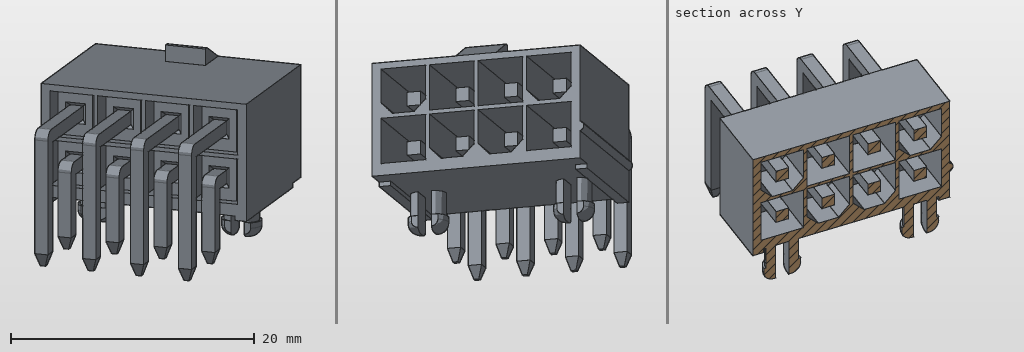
import cadquery as cq


body_width = 17.97
body_depth = 12.8
body_top = 10.0
foot_height = 0.38
foot_width = 1.0
foot_length = 10.92
rib_height = 0.84
rib_projection = 0.32
rib_middle_z = 3.12

latch_width = 3.5
latch_length = 3.02
latch_height = 1.4
latch_flat = 0.44

columns = 4
pitch = 4.2
cell_size = 3.85
roof_thickness = 0.55
recess_depth = 0.84
web_width = 3.02
web_thickness = 2.0
corner_leg = 1.0
funnel_size = 1.75

pin_size = 1.15
bend_radius = 0.8
upper_reach = 7.17
lower_reach = 1.7
pin_end_y = 9.98
pin_bottom = -3.5
taper_length = 1.1
taper_tip = 0.44

peg_y = 6.17
peg_thickness = 2.02
peg_shaft_width = 3.02
peg_head_width = 3.4
peg_slot = pin_size
peg_shoulder_z = -1.64
peg_bottom = -3.02
peg_round = 0.92

column_x = [(i - (columns - 1) / 2) * pitch for i in range(columns)]
upper_z = body_top - roof_thickness - cell_size / 2
lower_z = upper_z - pitch
web_back = recess_depth + web_thickness
funnel_depth = (funnel_size - pin_size) / 2


def box(width, depth, height, x, y, z):
    """Box centred on x, starting at y and z."""
    block = cq.Workplane("XY").box(width, depth, height, centered=(True, False, False))
    return block.translate((x, y, z))


def housing_shell():
    shell = box(body_width, body_depth, body_top - foot_height, 0, 0, foot_height)
    foot_x = (body_width - foot_width) / 2
    for x in (-foot_x, foot_x):
        shell = shell.union(box(foot_width, foot_length, foot_height, x, 0, 0))
    side = -body_width / 2
    rib = (
        cq.Workplane("XZ")
        .moveTo(side, rib_middle_z - rib_height / 2)
        .threePointArc((side - rib_projection, rib_middle_z), (side, rib_middle_z + rib_height / 2))
        .close()
        .extrude(-body_depth)
    )
    return shell.union(rib)


def latch():
    front = body_depth - latch_length
    return (
        cq.Workplane("YZ")
        .moveTo(body_depth, body_top)
        .lineTo(front, body_top)
        .lineTo(front, body_top + latch_height)
        .lineTo(front + latch_flat, body_top + latch_height)
        .close()
        .extrude(latch_width / 2, both=True)
    )


def cell_cut(x, z, keyed):
    """Open cell around a pin web; keyed cells keep two filled lower corners behind the web."""
    bottom = z - cell_size / 2
    cell = box(cell_size, body_depth, cell_size, x, 0, bottom)
    cell = cell.cut(box(web_width, web_thickness, cell_size, x, recess_depth, bottom))
    if keyed:
        for side in (-1, 1):
            corner = (
                cq.Workplane("XZ", origin=(x + side * cell_size / 2, web_back, bottom))
                .lineTo(-side * corner_leg, 0)
                .lineTo(0, corner_leg)
                .close()
                .extrude(web_back - body_depth)
            )
            cell = cell.cut(corner)
    funnel = (
        cq.Workplane("XZ", origin=(x, recess_depth, z))
        .rect(funnel_size, funnel_size)
        .workplane(offset=-funnel_depth)
        .rect(pin_size, pin_size)
        .loft()
    )
    return cell.union(funnel)


def pin(x, z, reach):
    """Square pin running out of the housing, bent down and tapered at its tip."""
    half = pin_size / 2
    inner_y = pin_size - reach
    taper_start = pin_bottom + taper_length
    bar = (
        cq.Workplane("YZ")
        .moveTo(pin_end_y, z + half)
        .lineTo(bend_radius - reach, z + half)
        .radiusArc((-reach, z + half - bend_radius), -bend_radius)
        .lineTo(-reach, taper_start)
        .lineTo(inner_y, taper_start)
        .lineTo(inner_y, z - half)
        .lineTo(pin_end_y, z - half)
        .close()
        .extrude(half, both=True)
    )
    tip = (
        cq.Workplane("XY", origin=(0, half - reach, taper_start))
        .rect(pin_size, pin_size)
        .workplane(offset=-taper_length)
        .rect(taper_tip, taper_tip)
        .loft()
    )
    return bar.union(tip).translate((x, 0, 0))


def peg(x):
    """Pair of round-ended prongs with flat front and back, separated by a slot."""
    prong_offset = (peg_shaft_width - peg_thickness) / 2
    head_radius = peg_head_width / 2 - prong_offset
    shaft_height = foot_height - peg_shoulder_z
    prongs = cq.Workplane()
    for side in (-1, 1):
        centre = side * prong_offset
        shaft = (
            cq.Workplane("XY", origin=(centre, 0, peg_shoulder_z))
            .circle(peg_thickness / 2)
            .extrude(shaft_height)
        )
        head = (
            cq.Workplane("XY", origin=(centre, 0, peg_bottom))
            .circle(head_radius)
            .extrude(peg_shoulder_z - peg_bottom)
            .faces("<Z")
            .edges()
            .fillet(peg_round)
        )
        outer_half_x = side * (peg_slot + peg_head_width) / 2
        prong_height = foot_height - peg_bottom
        prong_front = -peg_thickness / 2
        outer_half = box(peg_head_width, peg_thickness, prong_height, outer_half_x, prong_front, peg_bottom)
        prong = shaft.union(head).intersect(outer_half)
        prongs = prongs.add(prong)
    return prongs.combine().translate((x, peg_y, 0))


result = housing_shell().union(latch())

for i, x in enumerate(column_x):
    outer_column = i in (0, columns - 1)
    result = result.cut(cell_cut(x, upper_z, outer_column))
    result = result.cut(cell_cut(x, lower_z, not outer_column))

for x in column_x:
    result = result.union(pin(x, upper_z, upper_reach))
    result = result.union(pin(x, lower_z, lower_reach))

for x in (column_x[0], column_x[-1]):
    result = result.union(peg(x))